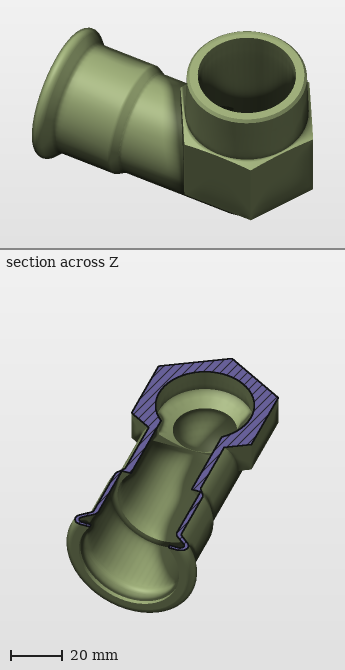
import cadquery as cq
import math

OVERALL_LENGTH = 109.9
HEX_FLATS = 50.0
HEX_TOP = 30.9
HEX_CHAMFER_ANGLE = 12.0
OUTLET_TOP = 53.01

HEX_CORNERS = HEX_FLATS / math.cos(math.radians(30))
OUTLET_X = OVERALL_LENGTH - HEX_CORNERS / 2

THREAD_ROOT_DIAMETER = 48.0
THREAD_TAPER = 1 / 16
THREAD_CHAMFER_HEIGHT = 1.1
THREAD_END_DIAMETER = 44.6
OUTLET_BORE_DIAMETER = 38.1
OUTLET_FLOOR_DIAMETER = 24.9
OUTLET_CONE_HEIGHT = 4.1

TUBE_DIAMETER = 41.0
TUBE_BORE_DIAMETER = 36.3
BORE_ROOF_WALL_OFFSET = 12.91

SOCKET_DIAMETER = 45.0
SOCKET_WALL = 1.6
SOCKET_END = 32.5
SOCKET_DEPTH = 34.3
STEP_LENGTH = 3.6
STEP_BLEND = 2.2
BEAD_DIAMETER = 54.0
BEAD_RADIUS = 3.02
BEAD_BLEND = 2.0

SIN_45 = math.sin(math.radians(45))
BEAD_CENTRE_RADIUS = BEAD_DIAMETER / 2 - BEAD_RADIUS
BLEND_CENTRE_RADIUS = SOCKET_DIAMETER / 2 + BEAD_BLEND
BLEND_CENTRE_X = (
    BEAD_RADIUS + BEAD_CENTRE_RADIUS - BLEND_CENTRE_RADIUS + (BEAD_RADIUS + BEAD_BLEND) / SIN_45
)


def circle_point(x, radius_from_axis, arc_radius, angle):
    """Point on an arc in the profile plane, with the angle in degrees."""
    turn = math.radians(angle)
    return x + arc_radius * math.cos(turn), radius_from_axis + arc_radius * math.sin(turn)


def add_bead(profile, inset):
    """Continue a profile over the bead, down its cone and onto the socket cylinder."""
    bead = (BEAD_RADIUS, BEAD_CENTRE_RADIUS, BEAD_RADIUS - inset)
    blend = (BLEND_CENTRE_X, BLEND_CENTRE_RADIUS, BEAD_BLEND + inset)
    return (
        profile.lineTo(*circle_point(*bead, 180))
        .threePointArc(circle_point(*bead, 112.5), circle_point(*bead, 45))
        .lineTo(*circle_point(*blend, 225))
        .threePointArc(circle_point(*blend, 247.5), circle_point(*blend, 270))
    )


def revolve_about_tube(profile):
    return profile.close().revolve(360, (0, 0, 0), (1, 0, 0))


def socket_body():
    """Socket skin with the bead and the rounded step down to the tube."""
    socket_radius = SOCKET_DIAMETER / 2
    tube_radius = TUBE_DIAMETER / 2
    step_angle = math.atan2(socket_radius - tube_radius, STEP_LENGTH)
    blend_setback = STEP_BLEND * math.tan(step_angle / 2)
    run = blend_setback * math.cos(step_angle)
    drop = blend_setback * math.sin(step_angle)
    step_end = SOCKET_END + STEP_LENGTH
    profile = add_bead(cq.Workplane("XZ"), 0)
    profile = (
        profile.lineTo(SOCKET_END - blend_setback, socket_radius)
        .tangentArcPoint((SOCKET_END + run, socket_radius - drop), relative=False)
        .lineTo(step_end - run, tube_radius + drop)
        .tangentArcPoint((step_end + blend_setback, tube_radius), relative=False)
        .lineTo(step_end + blend_setback, 0)
    )
    return revolve_about_tube(profile)


def socket_cavity():
    """Socket bore with the seal groove that follows the bead at constant wall thickness."""
    bore_radius = SOCKET_DIAMETER / 2 - SOCKET_WALL
    profile = cq.Workplane("XZ").lineTo(0, bore_radius).lineTo(SOCKET_WALL, bore_radius)
    profile = add_bead(profile, SOCKET_WALL)
    profile = profile.lineTo(SOCKET_DEPTH, bore_radius).lineTo(SOCKET_DEPTH, 0)
    return revolve_about_tube(profile)


def round_ended_rod(diameter, start):
    """Rod along the tube axis, ending in a ball centred on the outlet axis."""
    rod = cq.Workplane("YZ", origin=(start, 0, 0)).circle(diameter / 2).extrude(OUTLET_X - start)
    ball = cq.Workplane("XY", origin=(OUTLET_X, 0, 0)).sphere(diameter / 2)
    return rod.union(ball)


def tube_bore():
    """Bore whose upper half stops at a flat wall while the lower half rounds the elbow."""
    roof_start = OUTLET_X - BORE_ROOF_WALL_OFFSET
    roof = cq.Workplane("XY").box(
        OVERALL_LENGTH, OVERALL_LENGTH, OVERALL_LENGTH, centered=(False, True, False)
    ).translate((roof_start, 0, 0))
    return round_ended_rod(TUBE_BORE_DIAMETER, SOCKET_DEPTH).cut(roof)


def revolve_about_outlet(points):
    """Solid of revolution about the outlet axis from (radius, height) points."""
    return (
        cq.Workplane("XZ").polyline(points).close()
        .revolve(360, (0, 0, 0), (0, 1, 0)).translate((OUTLET_X, 0, 0))
    )


def hexagon():
    """Hexagon with corners along X and its upper corners chamfered by a cone."""
    blank = cq.Workplane("XY", origin=(OUTLET_X, 0, 0)).polygon(6, HEX_CORNERS).extrude(HEX_TOP)
    flat_radius = HEX_FLATS / 2
    corner_radius = HEX_CORNERS / 2
    corner_drop = (corner_radius - flat_radius) * math.tan(math.radians(HEX_CHAMFER_ANGLE))
    envelope = revolve_about_outlet([
        (0, 0),
        (corner_radius, 0),
        (corner_radius, HEX_TOP - corner_drop),
        (flat_radius, HEX_TOP),
        (0, HEX_TOP),
    ])
    return blank.intersect(envelope)


def thread():
    root_radius = THREAD_ROOT_DIAMETER / 2
    chamfer_start = OUTLET_TOP - THREAD_CHAMFER_HEIGHT
    tip_radius = root_radius - (chamfer_start - HEX_TOP) * THREAD_TAPER / 2
    return revolve_about_outlet([
        (0, HEX_TOP),
        (root_radius, HEX_TOP),
        (tip_radius, chamfer_start),
        (THREAD_END_DIAMETER / 2, OUTLET_TOP),
        (0, OUTLET_TOP),
    ])


def outlet_bore():
    """Outlet bore with a conical floor that opens into the tube bore."""
    bore_radius = OUTLET_BORE_DIAMETER / 2
    return revolve_about_outlet([
        (0, 0),
        (OUTLET_FLOOR_DIAMETER / 2, 0),
        (bore_radius, OUTLET_CONE_HEIGHT),
        (bore_radius, OUTLET_TOP),
        (0, OUTLET_TOP),
    ])


body = socket_body().union(round_ended_rod(TUBE_DIAMETER, SOCKET_DEPTH)).union(hexagon()).union(thread())
result = body.cut(socket_cavity()).cut(tube_bore()).cut(outlet_bore())